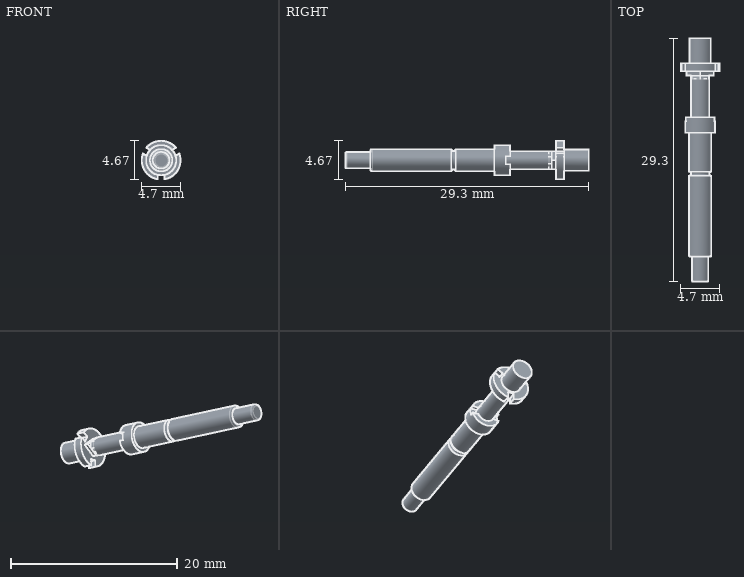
import cadquery as cq
import math


total_length = 29.3
tip_length = 3.02
groove_centre_y = 13.0
collar_front_y = 17.93
collar_length = 1.88
collar_rear_y = collar_front_y + collar_length
tail_length = 3.0
flange_thickness = 1.0
flange_rear_y = total_length - tail_length
flange_front_y = flange_rear_y - flange_thickness
key_length = 0.5
key_front_y = flange_front_y - key_length
blend_length = 0.38
blend_front_y = key_front_y - blend_length

tip_radius = 1.0
body_radius = 1.35
collar_radius = 1.82
neck_diameter = 2.2
neck_radius = neck_diameter / 2
flange_radius = 2.35
tail_radius = 1.3

tip_round = 0.2
body_round = 0.2
groove_half_width = 0.25
groove_depth = 0.23

flange_slot_count = 3
flange_slot_width = 0.8
flange_slot_floor = 1.52
collar_notch_width = 0.97
collar_notch_depth = 0.5

key_half_width = 1.65
key_half_height = neck_radius


def section_at(y):
    """Workplane across the axis at y, with local x = X, local y = Z and extrusion toward -Y."""
    return cq.Workplane("XZ", origin=(0, y, 0))


def disc(radius, front_y, rear_y):
    return section_at(rear_y).circle(radius).extrude(rear_y - front_y)


def make_tip():
    return disc(tip_radius, 0, tip_length).faces("<Y").edges().fillet(tip_round)


def make_body():
    """Barrel with a rounded front edge and a ring groove."""
    groove_front_y = groove_centre_y - groove_half_width
    groove_rear_y = groove_centre_y + groove_half_width
    return (
        cq.Workplane("XY")
        .moveTo(0, tip_length)
        .lineTo(body_radius - body_round, tip_length)
        .radiusArc((body_radius, tip_length + body_round), -body_round)
        .lineTo(body_radius, groove_front_y)
        .threePointArc((body_radius - groove_depth, groove_centre_y), (body_radius, groove_rear_y))
        .lineTo(body_radius, collar_front_y)
        .lineTo(0, collar_front_y)
        .close()
        .revolve(360, (0, 0, 0), (0, 1, 0))
    )


def make_collar():
    """Collar with a notch on each side, open to the rear and as deep as the neck."""
    notches = (
        section_at(collar_rear_y)
        .rect(2 * collar_radius, collar_notch_width)
        .extrude(collar_notch_depth)
        .cut(disc(neck_radius, collar_front_y, collar_rear_y))
    )
    return disc(collar_radius, collar_front_y, collar_rear_y).cut(notches)


def make_key():
    """Rhombic prism in front of the flange."""
    return (
        section_at(flange_front_y)
        .polyline([
            (key_half_width, 0),
            (0, key_half_height),
            (-key_half_width, 0),
            (0, -key_half_height),
        ])
        .close()
        .extrude(key_length)
    )


def make_blend():
    """Transition from the key's flats, where they cut the neck, to the full round neck."""
    flat_end_angle = 2 * math.atan2(key_half_width, key_half_height) - math.pi / 2

    def on_neck(angle):
        return neck_radius * math.cos(angle), neck_radius * math.sin(angle)

    corner_angles = [
        flat_end_angle,
        math.pi / 2,
        math.pi - flat_end_angle,
        math.pi + flat_end_angle,
        3 * math.pi / 2,
        2 * math.pi - flat_end_angle,
        2 * math.pi + flat_end_angle,
    ]
    spans = list(zip(corner_angles, corner_angles[1:]))
    side_arcs = (2, 5)

    flatted = section_at(key_front_y).moveTo(*on_neck(flat_end_angle))
    for index, (start, end) in enumerate(spans):
        if index in side_arcs:
            flatted = flatted.threePointArc(on_neck((start + end) / 2), on_neck(end))
        else:
            flatted = flatted.lineTo(*on_neck(end))
    flatted = flatted.close()

    round_end = flatted.workplane(offset=blend_length, origin=(0, key_front_y, 0))
    round_end = round_end.moveTo(*on_neck(flat_end_angle))
    for start, end in spans:
        round_end = round_end.threePointArc(on_neck((start + end) / 2), on_neck(end))
    return round_end.close().loft(ruled=True)


def make_flange():
    """Rim disc with flat-floored slots, one of them pointing straight down."""
    flange = disc(flange_radius, flange_front_y, flange_rear_y)
    slot_depth = flange_radius - flange_slot_floor
    for index in range(flange_slot_count):
        slot = (
            section_at(flange_rear_y)
            .center(0, -flange_slot_floor - slot_depth / 2)
            .rect(flange_slot_width, slot_depth)
            .extrude(flange_thickness)
            .rotate((0, 0, 0), (0, 1, 0), index * 360 / flange_slot_count)
        )
        flange = flange.cut(slot)
    return flange


result = (
    make_body()
    .union(make_tip())
    .union(make_collar())
    .union(disc(neck_radius, collar_front_y, blend_front_y))
    .union(make_flange())
    .union(make_key())
    .union(disc(tail_radius, flange_rear_y, total_length))
    .union(make_blend(), clean=False)
    .solids()
)